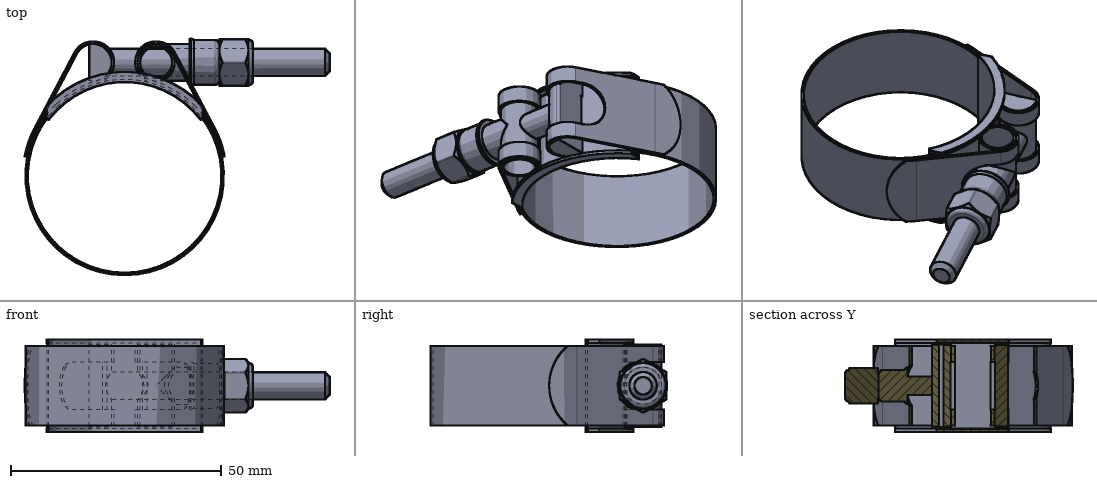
import cadquery as cq
import math


RING_INNER = 23.0
BAND_THICK = 0.6
BAND_HEIGHT = 19.0
TAIL_GAP = 0.02
TAIL_TIP_Y = 4.65
TAIL_END_RADIUS = 12.4
SLOT_HALF = 5.6
HEAD_SLOT_CENTRE_Y = 27.5
COLLAR_SLOT_CENTRE_Y = 26.0
RING_OUTER = RING_INNER + BAND_THICK
TAIL_INNER = RING_OUTER + TAIL_GAP
TAIL_OUTER = TAIL_INNER + BAND_THICK

TRUNNION_RADIUS = 4.4
TRUNNION_HEIGHT = 19.5
TRUNNION_X = 7.5
TUBE_BORE_RADIUS = 3.8
LOOP_OUTER = TRUNNION_RADIUS + BAND_THICK
TRUNNION_DISTANCE = RING_OUTER + TRUNNION_RADIUS
AXIS_Y = math.sqrt(TRUNNION_DISTANCE**2 - TRUNNION_X**2)

BOLT_RADIUS = 3.27
BOLT_END_X = 48.78
BOLT_CHAMFER = 1.2
HEAD_FLAT_OFFSET = 0.93
HEAD_EDGE_RADIUS = 0.7

BRIDGE_HEIGHT = 22.0
BRIDGE_HALF_SPAN = 18.55
BRIDGE_TOP_Y = 24.75
BRIDGE_END_Y = 16.6
BRIDGE_END_LOWER_Y = 13.85
BRIDGE_UNDER_Y = 22.3
BRIDGE_UNDER_HALF_SPAN = 18.1
BRIDGE_UNDER_END_Y = 13.3
FLANGE_THICK = 0.8

COLLAR_START_X = 15.45
COLLAR_RADIUS = 5.35
COLLAR_FILLET = 1.0
LIP_RADIUS = 5.73
LIP_EDGE = 0.3
LIP_LENGTH = 1.0

NUT_START_X = 22.5
NUT_END_X = 30.5
NUT_FLATS = 11.1
NUT_HEX_LENGTH = 6.95
NUT_CHAMFER_LENGTH = 0.8
NUT_CHAMFER_DROP = 0.9
NUT_CORNER_FILLET = 0.3
DOME_RADIUS = 5.4
DOME_FILLET = 1.0


def polar(centre, radius, angle):
    """Point at an angle in degrees around a centre."""
    turn = math.radians(angle)
    return (centre[0] + radius * math.cos(turn), centre[1] + radius * math.sin(turn))


def arc_strip(centre, inner, outer, start, end):
    """Curved piece of band between two angles."""
    middle = (start + end) / 2
    return (
        cq.Workplane("XY", origin=(0, 0, -BAND_HEIGHT / 2))
        .moveTo(*polar(centre, outer, start))
        .threePointArc(polar(centre, outer, middle), polar(centre, outer, end))
        .lineTo(*polar(centre, inner, end))
        .threePointArc(polar(centre, inner, middle), polar(centre, inner, start))
        .close()
        .extrude(BAND_HEIGHT)
    )


def x_cylinder(radius, start, end):
    """Cylinder along the bolt axis."""
    return cq.Workplane("YZ", origin=(start, AXIS_Y, 0)).circle(radius).extrude(end - start)


def z_cylinder(radius, height):
    """Upright cylinder about the right trunnion axis."""
    return cq.Workplane("XY", origin=(TRUNNION_X, AXIS_Y, -height / 2)).circle(radius).extrude(height)


def bolt_axis_revolve(profile):
    """Turn an (x, radius) profile about the bolt axis."""
    return profile.close().revolve(360, (0, 0, 0), (1, 0, 0))


def axis_profile():
    return cq.Workplane("XY", origin=(0, AXIS_Y, 0))


loop_centre = (TRUNNION_X, AXIS_Y)
loop_bearing = math.degrees(math.atan2(AXIS_Y, TRUNNION_X))
leg_bearing = loop_bearing - math.degrees(
    math.acos((TAIL_OUTER - LOOP_OUTER) / TRUNNION_DISTANCE)
)
tail_tip_bearing = math.degrees(math.asin(TAIL_TIP_Y / TAIL_OUTER))


def rounded_tail():
    """Tail on the ring's outside, with its tip cut to an arc."""
    tail = arc_strip((0, 0), TAIL_INNER, TAIL_OUTER, tail_tip_bearing, leg_bearing)
    tip_disc = (
        cq.Workplane("YZ", origin=(0, TAIL_TIP_Y + TAIL_END_RADIUS, 0))
        .circle(TAIL_END_RADIUS)
        .extrude(TAIL_OUTER)
    )
    return tail.intersect(tip_disc)


def loop_and_leg():
    loop = arc_strip(loop_centre, TRUNNION_RADIUS, LOOP_OUTER, leg_bearing, loop_bearing + 180)
    leg = (
        cq.Workplane("XY", origin=(0, 0, -BAND_HEIGHT / 2))
        .polyline(
            [
                polar((0, 0), TAIL_INNER, leg_bearing),
                polar((0, 0), TAIL_OUTER, leg_bearing),
                polar(loop_centre, LOOP_OUTER, leg_bearing),
                polar(loop_centre, TRUNNION_RADIUS, leg_bearing),
            ]
        )
        .close()
        .extrude(BAND_HEIGHT)
    )
    return loop.union(leg)


def slot_cutter(centre_y):
    """Slot with a round lower end in the leg, running over the loop and down past the bolt."""
    normal = polar((0, 0), 1, leg_bearing)
    leg_x = (TAIL_OUTER - centre_y * normal[1]) / normal[0]
    leg_plane = cq.Plane(
        origin=(leg_x, centre_y, 0), xDir=(0, 0, 1), normal=(normal[0], normal[1], 0)
    )
    round_end = cq.Workplane(leg_plane).circle(SLOT_HALF).extrude(2 * BAND_THICK, both=True)
    left_x = TRUNNION_X - 2 * LOOP_OUTER
    right_x = TRUNNION_X + 2 * LOOP_OUTER
    top_y = AXIS_Y + 2 * LOOP_OUTER
    inner_side_y = AXIS_Y - TUBE_BORE_RADIUS
    over_loop = (
        cq.Workplane("XY", origin=(0, 0, -SLOT_HALF))
        .moveTo(left_x, inner_side_y)
        .lineTo(TRUNNION_X, inner_side_y)
        .lineTo(TRUNNION_X, centre_y)
        .lineTo(right_x, centre_y)
        .lineTo(right_x, top_y)
        .lineTo(left_x, top_y)
        .close()
        .extrude(2 * SLOT_HALF)
    )
    return round_end.union(over_loop)


def band_end(slot_centre_y):
    return loop_and_leg().cut(slot_cutter(slot_centre_y)).union(rounded_tail())


def make_band():
    ring = arc_strip((0, 0), RING_INNER, RING_OUTER, 180 - loop_bearing, loop_bearing - 360)
    collar_end = band_end(COLLAR_SLOT_CENTRE_Y)
    head_end = band_end(HEAD_SLOT_CENTRE_Y).mirror("YZ")
    return ring.union(collar_end).union(head_end)


def make_bridge():
    """Arched channel whose web lies inside the ring and whose flanges clear the band."""
    arch = (
        cq.Workplane("XY", origin=(0, 0, -BRIDGE_HEIGHT / 2))
        .moveTo(-BRIDGE_HALF_SPAN, BRIDGE_END_Y)
        .threePointArc((0, BRIDGE_TOP_Y), (BRIDGE_HALF_SPAN, BRIDGE_END_Y))
        .lineTo(BRIDGE_HALF_SPAN, BRIDGE_END_LOWER_Y)
        .lineTo(BRIDGE_UNDER_HALF_SPAN, BRIDGE_UNDER_END_Y)
        .threePointArc((0, BRIDGE_UNDER_Y), (-BRIDGE_UNDER_HALF_SPAN, BRIDGE_UNDER_END_Y))
        .lineTo(-BRIDGE_HALF_SPAN, BRIDGE_END_LOWER_Y)
        .close()
        .extrude(BRIDGE_HEIGHT)
    )
    channel_height = BRIDGE_HEIGHT - 2 * FLANGE_THICK
    channel = (
        cq.Workplane("XY", origin=(0, 0, -channel_height / 2))
        .circle(2 * RING_INNER)
        .circle(RING_INNER)
        .extrude(channel_height)
    )
    return arch.cut(channel)


def half_round(height):
    """Head block: a cylinder of the trunnion's size with a flat on its -X side."""
    half_flat = math.sqrt(TRUNNION_RADIUS**2 - HEAD_FLAT_OFFSET**2)
    return (
        cq.Workplane("XY", origin=(-TRUNNION_X, AXIS_Y, -height / 2))
        .moveTo(-HEAD_FLAT_OFFSET, -half_flat)
        .threePointArc((TRUNNION_RADIUS, 0), (-HEAD_FLAT_OFFSET, half_flat))
        .close()
        .extrude(height)
    )


def make_t_bolt():
    """Half-round head in the left loop, in one piece with the shank."""
    slot_width = 2 * SLOT_HALF
    rounded_middle = half_round(slot_width).faces("<X").edges("|Z").fillet(HEAD_EDGE_RADIUS)
    head = half_round(TRUNNION_HEIGHT).cut(half_round(slot_width)).union(rounded_middle)
    shank = x_cylinder(BOLT_RADIUS, -TRUNNION_X, BOLT_END_X).faces(">X").chamfer(BOLT_CHAMFER)
    return head.union(shank)


def make_tube_trunnion():
    tube = z_cylinder(TRUNNION_RADIUS, TRUNNION_HEIGHT).cut(z_cylinder(TUBE_BORE_RADIUS, TRUNNION_HEIGHT))
    return tube.cut(x_cylinder(BOLT_RADIUS, 0, BOLT_END_X))


def make_sleeve():
    """Spacer sleeve, coped to the tube, with a lipped collar at the nut."""
    profile = (
        axis_profile()
        .moveTo(TRUNNION_X, BOLT_RADIUS)
        .lineTo(TRUNNION_X, TRUNNION_RADIUS)
        .lineTo(COLLAR_START_X, TRUNNION_RADIUS)
        .lineTo(COLLAR_START_X, LIP_RADIUS - LIP_EDGE / 2)
        .lineTo(COLLAR_START_X + LIP_EDGE, LIP_RADIUS)
        .lineTo(COLLAR_START_X + LIP_LENGTH, COLLAR_RADIUS)
        .lineTo(NUT_START_X - COLLAR_FILLET, COLLAR_RADIUS)
        .radiusArc((NUT_START_X, COLLAR_RADIUS - COLLAR_FILLET), COLLAR_FILLET)
        .lineTo(NUT_START_X, BOLT_RADIUS)
    )
    return bolt_axis_revolve(profile).cut(z_cylinder(TRUNNION_RADIUS, TRUNNION_HEIGHT))


def make_nut():
    """Hexagon with a corner up, chamfered at both ends, and a domed locking ring."""
    hex_end = NUT_START_X + NUT_HEX_LENGTH
    corner_radius = NUT_FLATS / math.sqrt(3)
    hexagon = (
        cq.Workplane("YZ", origin=(NUT_START_X, AXIS_Y, 0))
        .transformed(rotate=(0, 0, 90))
        .polygon(6, 2 * corner_radius)
        .extrude(NUT_HEX_LENGTH)
        .edges("|X")
        .fillet(NUT_CORNER_FILLET)
    )
    chamfer_radius = corner_radius - NUT_CHAMFER_DROP
    chamfer_envelope = bolt_axis_revolve(
        axis_profile()
        .moveTo(NUT_START_X, 0)
        .lineTo(NUT_START_X, chamfer_radius)
        .lineTo(NUT_START_X + NUT_CHAMFER_LENGTH, corner_radius)
        .lineTo(hex_end - NUT_CHAMFER_LENGTH, corner_radius)
        .lineTo(hex_end, chamfer_radius)
        .lineTo(hex_end, 0)
    )
    dome = x_cylinder(DOME_RADIUS, NUT_START_X + NUT_HEX_LENGTH / 2, NUT_END_X)
    dome = dome.faces(">X").edges().fillet(DOME_FILLET)
    bore = x_cylinder(BOLT_RADIUS, NUT_START_X, NUT_END_X)
    return hexagon.intersect(chamfer_envelope).union(dome).cut(bore)


band = make_band()
bridge = make_bridge()
t_bolt = make_t_bolt()
tube_trunnion = make_tube_trunnion()
sleeve = make_sleeve()
nut = make_nut()

bodies = [band, bridge, t_bolt, tube_trunnion, sleeve, nut]
result = cq.Compound.makeCompound([body.solids().val() for body in bodies])